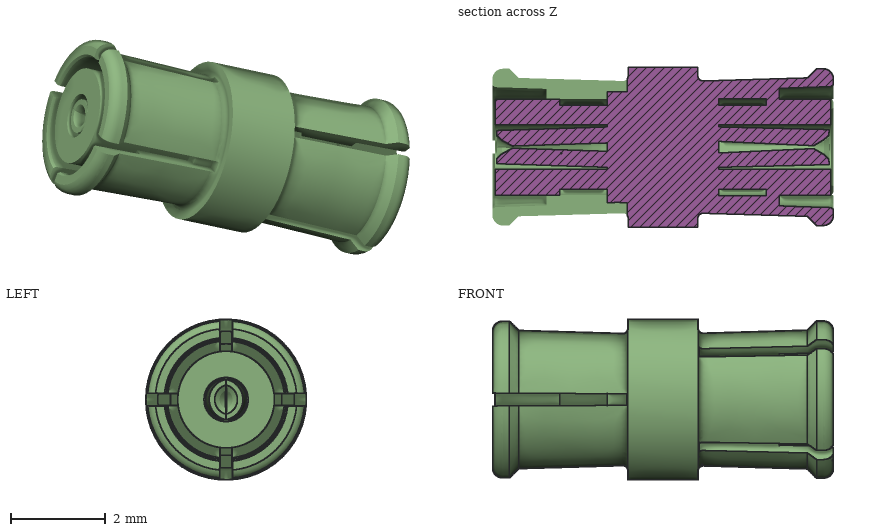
import cadquery as cq
import math

length = 7.2
end_x = length / 2

collar_radius = 1.7
collar_length = 1.48
collar_x = collar_length / 2

root_radius = 1.405
neck_radius = 1.47
lip_radius = 1.66
lip_face_radius = 1.5
lip_round_length = 0.215
lip_flat_length = 0.14
lip_cone_length = 0.195
root_fillet = 0.1

mouth_radius = 1.31
mouth_chamfer_length = 0.06
socket_radius = 1.275
socket_bottom_radius = 1.24
socket_depth = 1.14

slot_count = 4
slot_mouth_width = 0.27
slot_root_width = 0.245
slot_end_gap = 0.02
slot_x = collar_x + slot_end_gap
twist = 180 / slot_count

flange_radius = 1.18
flange_x = 1.18
waist_radius = 0.89
head_radius = 1.02
head_length = 1.375
head_recess = 0.04
head_x = end_x - head_recess
waist_x = head_x - head_length
core_bore_radius = 0.47

contact_radius = 0.43
contact_recess = 0.09
countersink_radius = 0.32
contact_bore_radius = 0.21
contact_point_depth = 0.36
split_width = 0.165
tip_gap = 0.015
contact_x = end_x - contact_recess


def revolve_about_axis(profile):
    """Turn a closed profile (distance along X, radius) about the X axis."""
    return profile.close().revolve(360, (0, 0, 0), (1, 0, 0))


def make_rod(start, stop, radius):
    """Round rod along the axis between two distances from the centre."""
    return cq.Workplane("YZ", origin=(start, 0, 0)).circle(radius).extrude(stop - start)


def make_blank():
    """Sleeve with its lip and open socket, filled up to the core head, before slotting."""
    lip_flat_start = end_x - lip_round_length
    lip_flat_end = lip_flat_start - lip_flat_length
    lip_rise = lip_radius - lip_face_radius
    lip_round = (lip_round_length**2 + lip_rise**2) / (2 * lip_rise)
    fillet_drop = root_fillet * (1 - math.sqrt(0.5))
    socket_x = end_x - socket_depth
    profile = (
        cq.Workplane("XY")
        .moveTo(collar_x, 0)
        .lineTo(collar_x, root_radius + root_fillet)
        .threePointArc(
            (collar_x + fillet_drop, root_radius + fillet_drop),
            (collar_x + root_fillet, root_radius),
        )
        .lineTo(lip_flat_end - lip_cone_length, neck_radius)
        .lineTo(lip_flat_end, lip_radius)
        .lineTo(lip_flat_start, lip_radius)
        .radiusArc((end_x, lip_face_radius), lip_round)
        .lineTo(end_x, mouth_radius)
        .lineTo(end_x - mouth_chamfer_length, socket_radius)
        .lineTo(socket_x, socket_bottom_radius)
        .lineTo(socket_x, head_radius)
        .lineTo(head_x, head_radius)
        .lineTo(head_x, 0)
    )
    return revolve_about_axis(profile)


def make_insulator():
    """Solid outline of the insulator, which forms the floor of the slots."""
    profile = (
        cq.Workplane("XY")
        .lineTo(0, flange_radius)
        .lineTo(flange_x, flange_radius)
        .lineTo(flange_x, waist_radius)
        .lineTo(waist_x, waist_radius)
        .lineTo(waist_x, head_radius)
        .lineTo(head_x, head_radius)
        .lineTo(head_x, 0)
    )
    return revolve_about_axis(profile)


def make_slots():
    """Slots that widen toward the lip, spaced evenly around the axis, down to the insulator."""
    slot = (
        cq.Workplane("XY")
        .moveTo(slot_x, -slot_root_width / 2)
        .lineTo(end_x, -slot_mouth_width / 2)
        .lineTo(end_x, slot_mouth_width / 2)
        .lineTo(slot_x, slot_root_width / 2)
        .close()
        .extrude(collar_radius)
        .cut(make_insulator())
    )
    return [slot.rotate((0, 0, 0), (1, 0, 0), i * 360 / slot_count) for i in range(slot_count)]


def make_waist_cavity():
    """Ring-shaped space between the insulator waist and the sleeve."""
    cavity = make_rod(flange_x, waist_x, head_radius)
    return cavity.cut(make_rod(flange_x, waist_x, waist_radius))


def make_contact():
    """Bored and countersunk pin, made of two leaves bent toward each other from the flange."""
    bore_x = contact_x - (countersink_radius - contact_bore_radius)
    profile = (
        cq.Workplane("XY")
        .lineTo(0, contact_radius)
        .lineTo(contact_x, contact_radius)
        .lineTo(contact_x, countersink_radius)
        .lineTo(bore_x, contact_bore_radius)
        .lineTo(bore_x - contact_point_depth, 0)
    )
    leaf_side = (
        cq.Workplane("XY")
        .box(end_x, contact_radius, 2 * contact_radius, centered=(False, False, True))
        .translate((collar_x, split_width / 2, 0))
    )
    lean = math.degrees(math.atan((split_width - tip_gap) / 2 / (contact_x - flange_x)))
    leaf = revolve_about_axis(profile).intersect(leaf_side)
    leaf = leaf.rotate((flange_x, 0, 0), (flange_x, 0, 1), -lean)
    return leaf.union(leaf.mirror("XZ"))


def make_end():
    """Everything on the +X side of the collar."""
    body = make_blank().cut(make_waist_cavity())
    for slot in make_slots():
        body = body.cut(slot)
    body = body.cut(make_rod(flange_x, end_x, core_bore_radius))
    return body.union(make_contact())


end = make_end()
left_end = end.mirror("YZ")
right_end = end.rotate((0, 0, 0), (1, 0, 0), twist)
collar = make_rod(-collar_x, collar_x, collar_radius)
result = collar.union(left_end).union(right_end)